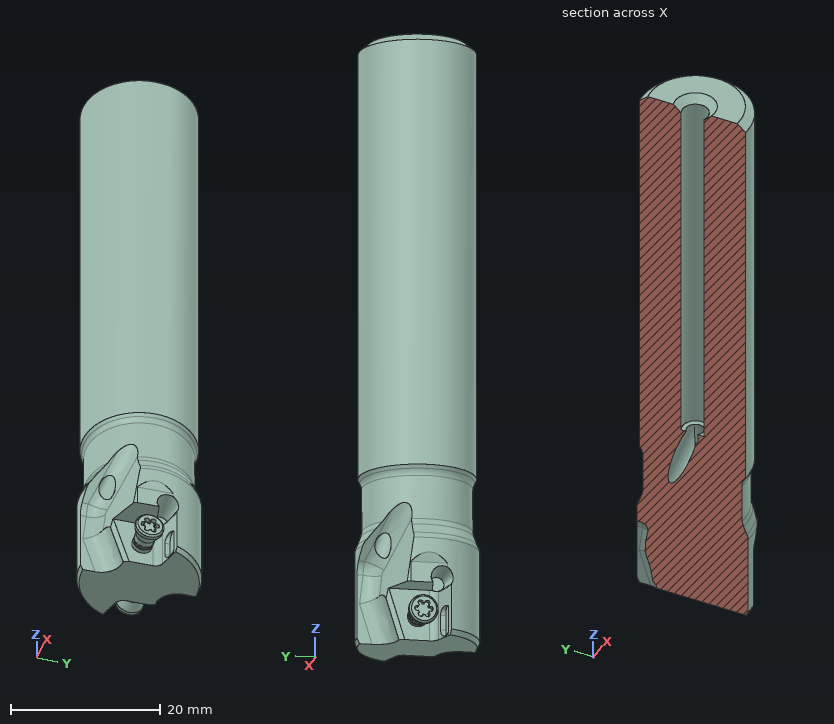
import cadquery as cq

STATIONS = (0, 180)
EPS = 0.8

TOTAL_LENGTH = 83.65
SHANK_DIA = 16.0
NECK_DIA = 15.0
HEAD_DIA = 16.8
TOP_CHAMFER_RADIAL = 1.25
TOP_CHAMFER_HEIGHT = 1.1
SHANK_END_Z = 23.4
SHANK_BEVEL_Z = 22.9
NECK_TOP_Z = 22.0
NECK_BOTTOM_Z = 16.0
SHOULDER_CONE_TOP_Z = 15.1
SHOULDER_CONE_BOTTOM_Z = 13.9
HEAD_TOP_Z = 13.1
TIP_CHAMFER_RADIAL = 0.3
TIP_CHAMFER_HEIGHT = 0.75

BORE_DIA = 3.8
BORE_BOTTOM_Z = 28.4
COUNTERSINK_DIA = 5.9
BRANCH_DIA = 2.3
BRANCH_TARGET = (3.3, -5.5, 12.55)

SIDE_X = 0.7
FLUTE_BEND_Z = 10.5
FLUTE_BEND_RADIUS = 2.9
FLUTE_TOP_Z = 22.6
FLUTE_RISE = 1.32
FLUTE_FLOOR_Y = -7.4
FLUTE_LEAN = 0.12
FLUTE_FLOOR_SLOPE = 0.45
FLUTE_FILLET = 2.5
GULLET_FLOOR_Y = -3.3
GULLET_LEAN = 0.31
GULLET_FILLET = 2.9
REACH = 10.9

SEAT_X = 3.9
SEAT_TOP_Z = 7.0
SEAT_CHAMFER_WIDTH = 0.75
SEAT_CHAMFER_DEPTH = 0.25
WALL_INNER_Y = 1.7
WALL_SLOPE = 0.37
WALL_FILLET = 1.2
CORNER_RELIEF_FLOOR_DIA = 2.0
CORNER_RELIEF_MOUTH_DIA = 3.2
CORNER_RELIEF_Y = 1.8
CORNER_RELIEF_Z = 7.9
WALL_SLOT_X = 6.3
WALL_SLOT_WIDTH = 2.2
WALL_SLOT_BOTTOM_Z = 0.2
WALL_SLOT_TOP_Z = 4.35
WALL_SLOT_FLOOR_Y = 2.85

FLAT_X = 8.0
FLAT_TOP_Z = 9.8
FLAT_RUNOUT_Z = 11.1

SCREW_Y = -0.75
SCREW_Z = 3.3
SCREW_TIP_X = 0.8
SCREW_DIA = 2.8
SCREW_GROOVE_DIA = 2.4
SCREW_GROOVE_START_X = 4.6
SCREW_GROOVE_END_X = 5.1
CONE_START_X = 6.1
CONE_END_X = 7.5
SCREW_HEAD_DIA = 3.9
SCREW_HEAD_CHAMFER = 0.25
SCREW_TOP_X = 8.3
SOCKET_CORE_DIA = 1.7
SOCKET_LOBES = 6
SOCKET_LOBE_DIA = 0.7
SOCKET_LOBE_RADIUS = 0.9
SOCKET_DEPTH = 0.75


def at_station(shape, angle):
    return shape.rotate((0, 0, 0), (0, 0, 1), angle)


def turned_blank():
    shank_r = SHANK_DIA / 2
    neck_r = NECK_DIA / 2
    head_r = HEAD_DIA / 2
    bevel_r = (shank_r + neck_r) / 2
    shoulder_step = (head_r - neck_r) / 4
    return (
        cq.Workplane("XZ")
        .moveTo(0, 0)
        .lineTo(head_r - TIP_CHAMFER_RADIAL, 0)
        .lineTo(head_r, TIP_CHAMFER_HEIGHT)
        .lineTo(head_r, HEAD_TOP_Z)
        .tangentArcPoint((head_r - shoulder_step, SHOULDER_CONE_BOTTOM_Z), relative=False)
        .lineTo(neck_r + shoulder_step, SHOULDER_CONE_TOP_Z)
        .tangentArcPoint((neck_r, NECK_BOTTOM_Z), relative=False)
        .lineTo(neck_r, NECK_TOP_Z)
        .tangentArcPoint((bevel_r, SHANK_BEVEL_Z), relative=False)
        .lineTo(shank_r, SHANK_END_Z)
        .lineTo(shank_r, TOTAL_LENGTH - TOP_CHAMFER_HEIGHT)
        .lineTo(shank_r - TOP_CHAMFER_RADIAL, TOTAL_LENGTH)
        .lineTo(0, TOTAL_LENGTH)
        .close()
        .revolve(360, (0, 0, 0), (0, 1, 0))
    )


def coolant_bore():
    bore_r = BORE_DIA / 2
    sink_r = COUNTERSINK_DIA / 2
    return (
        cq.Workplane("XZ")
        .moveTo(0, BORE_BOTTOM_Z)
        .lineTo(bore_r, BORE_BOTTOM_Z)
        .lineTo(bore_r, TOTAL_LENGTH - (sink_r - bore_r))
        .lineTo(sink_r, TOTAL_LENGTH)
        .lineTo(0, TOTAL_LENGTH)
        .close()
        .revolve(360, (0, 0, 0), (0, 1, 0))
    )


def coolant_branch():
    start = cq.Vector(0, 0, BORE_BOTTOM_Z)
    run = cq.Vector(*BRANCH_TARGET) - start
    overshoot = 1.3
    return cq.Workplane(
        cq.Solid.makeCylinder(BRANCH_DIA / 2, run.Length * overshoot, start, run)
    )


def flute():
    """Upper chip flute: outline in XZ, pushed out from a slanting, leaning floor."""
    top_x = SIDE_X + (FLUTE_TOP_Z - FLUTE_BEND_Z) / FLUTE_RISE
    outline = (
        cq.Workplane("XZ")
        .polyline([
            (SIDE_X, -EPS),
            (SIDE_X, FLUTE_BEND_Z),
            (top_x, FLUTE_TOP_Z),
            (REACH, FLUTE_TOP_Z),
            (REACH, -EPS),
        ])
        .close()
        .extrude(2 * REACH)
    )
    bend = cq.selectors.NearestToPointSelector((SIDE_X, -REACH, FLUTE_BEND_Z))
    outline = outline.edges(bend).fillet(FLUTE_BEND_RADIUS)

    def floor_y(x, z):
        return FLUTE_FLOOR_Y + FLUTE_FLOOR_SLOPE * x + FLUTE_LEAN * z

    def section(z):
        points = [
            (0, floor_y(0, z)),
            (2 * REACH, floor_y(2 * REACH, z)),
            (2 * REACH, -3 * REACH),
            (0, -3 * REACH),
        ]
        return cq.Wire.makePolygon([cq.Vector(x, y, z) for x, y in points], close=True)

    in_front_of_floor = cq.Solid.makeLoft([section(-2 * EPS), section(FLUTE_TOP_Z + EPS)], True)
    tool = outline.intersect(cq.Workplane(in_front_of_floor))
    mid_z = FLUTE_BEND_Z / 2
    side_edge = cq.selectors.NearestToPointSelector((SIDE_X, floor_y(SIDE_X, mid_z), mid_z))
    return tool.edges(side_edge).fillet(FLUTE_FILLET)


def gullet():
    """Lower chip gullet in front of the seat; its floor leans toward -Y with height."""
    chamfer_start_x = SEAT_X - SEAT_CHAMFER_DEPTH

    def section(z):
        floor_y = GULLET_FLOOR_Y - GULLET_LEAN * z
        points = [
            (SIDE_X, floor_y),
            (chamfer_start_x, floor_y),
            (SEAT_X, floor_y + SEAT_CHAMFER_WIDTH),
            (REACH, floor_y + SEAT_CHAMFER_WIDTH),
            (REACH, -2 * REACH),
            (SIDE_X, -2 * REACH),
        ]
        return cq.Wire.makePolygon([cq.Vector(x, y, z) for x, y in points], close=True)

    tool = cq.Workplane(cq.Solid.makeLoft([section(-EPS), section(SEAT_TOP_Z)], True))
    mid_z = (SEAT_TOP_Z - EPS) / 2
    mid_y = GULLET_FLOOR_Y - GULLET_LEAN * mid_z
    side_edge = cq.selectors.NearestToPointSelector((SIDE_X, mid_y, mid_z))
    return tool.edges(side_edge).fillet(GULLET_FILLET)


def insert_pocket():
    wall_outer_y = WALL_INNER_Y + WALL_SLOPE * (REACH - SEAT_X)
    pocket = (
        cq.Workplane("XY", origin=(0, 0, -EPS))
        .polyline([
            (SEAT_X, -REACH),
            (SEAT_X, WALL_INNER_Y),
            (REACH, wall_outer_y),
            (REACH, -REACH),
        ])
        .close()
        .extrude(SEAT_TOP_Z + EPS)
    )
    wall_edge = cq.selectors.NearestToPointSelector((SEAT_X, WALL_INNER_Y, SEAT_TOP_Z / 2))
    pocket = pocket.edges(wall_edge).fillet(WALL_FILLET)
    corner_relief = cq.Workplane(
        cq.Solid.makeCone(
            CORNER_RELIEF_FLOOR_DIA / 2,
            CORNER_RELIEF_MOUTH_DIA / 2,
            HEAD_DIA / 2 - SEAT_X,
            cq.Vector(SEAT_X, CORNER_RELIEF_Y, CORNER_RELIEF_Z),
            cq.Vector(1, 0, 0),
        )
    )
    slot_mid_z = (WALL_SLOT_BOTTOM_Z + WALL_SLOT_TOP_Z) / 2
    slot_length = WALL_SLOT_TOP_Z - WALL_SLOT_BOTTOM_Z
    wall_slot = (
        cq.Workplane("XZ", origin=(WALL_SLOT_X, WALL_SLOT_FLOOR_Y, slot_mid_z))
        .slot2D(slot_length, WALL_SLOT_WIDTH, 90)
        .extrude(WALL_SLOT_FLOOR_Y - WALL_INNER_Y)
    )
    return pocket.union(corner_relief).union(wall_slot)


def outer_flat():
    return (
        cq.Workplane("XZ", origin=(0, REACH, 0))
        .polyline([
            (FLAT_X, SEAT_TOP_Z),
            (FLAT_X, FLAT_TOP_Z),
            (HEAD_DIA / 2, FLAT_RUNOUT_Z),
            (REACH, FLAT_RUNOUT_Z),
            (REACH, SEAT_TOP_Z),
        ])
        .close()
        .extrude(2 * REACH)
    )


def screw_hole():
    return (
        cq.Workplane("YZ", origin=(SCREW_TIP_X, SCREW_Y, SCREW_Z))
        .circle(SCREW_DIA / 2)
        .extrude(SEAT_X - SCREW_TIP_X)
    )


def make_tool_body():
    body = turned_blank().cut(coolant_bore())
    for angle in STATIONS:
        for cutter in (flute(), gullet(), insert_pocket(), outer_flat(), screw_hole(), coolant_branch()):
            body = body.cut(at_station(cutter, angle))
    return body


def torx_socket():
    bottom = cq.Workplane("YZ", origin=(SCREW_TOP_X - SOCKET_DEPTH, SCREW_Y, SCREW_Z))
    core = bottom.circle(SOCKET_CORE_DIA / 2).extrude(SOCKET_DEPTH)
    lobes = (
        bottom.polarArray(SOCKET_LOBE_RADIUS, 0, 360, SOCKET_LOBES)
        .circle(SOCKET_LOBE_DIA / 2)
        .extrude(SOCKET_DEPTH)
    )
    return core.union(lobes)


def make_screw(angle):
    shank_r = SCREW_DIA / 2
    groove_r = SCREW_GROOVE_DIA / 2
    head_r = SCREW_HEAD_DIA / 2
    profile = [
        (SCREW_TIP_X, 0),
        (SCREW_TIP_X, shank_r),
        (SCREW_GROOVE_START_X, shank_r),
        (SCREW_GROOVE_START_X, groove_r),
        (SCREW_GROOVE_END_X, groove_r),
        (SCREW_GROOVE_END_X, shank_r),
        (CONE_START_X, shank_r),
        (CONE_END_X, head_r),
        (SCREW_TOP_X - SCREW_HEAD_CHAMFER, head_r),
        (SCREW_TOP_X, head_r - SCREW_HEAD_CHAMFER),
        (SCREW_TOP_X, 0),
    ]
    screw = (
        cq.Workplane("XY", origin=(0, SCREW_Y, SCREW_Z))
        .polyline(profile)
        .close()
        .revolve(360, (0, 0, 0), (1, 0, 0))
        .cut(torx_socket())
    )
    return at_station(screw, angle)


tool_body = make_tool_body()
screws = [make_screw(angle) for angle in STATIONS]
result = cq.Compound.makeCompound([tool_body.val(), *[screw.val() for screw in screws]])